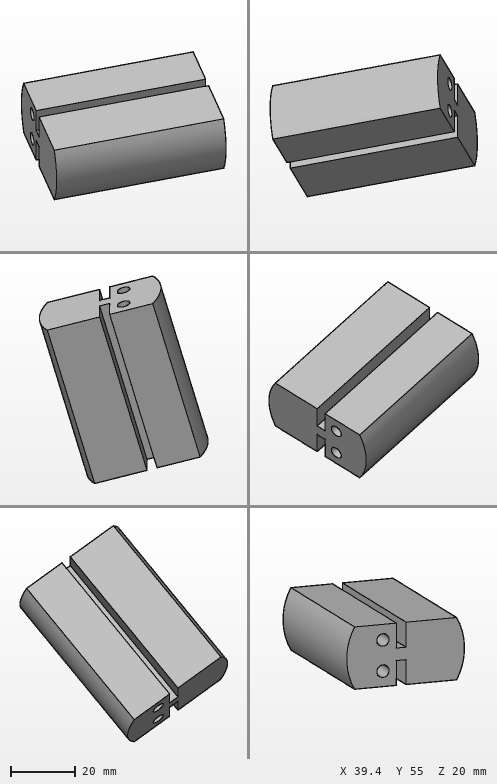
import cadquery as cq

width = 39.4
length = 55.0
height = 20.0
flat_width = 34.1

slot_width = 3.25
slot_center_x = -1.5
web_thickness = 4.0

hole_diameter = 4.0
hole_x = -7.6
hole_spacing = 10.0


def make_body():
    """Block with flat top and bottom and arc-shaped sides, centred on the origin."""
    half_flat = flat_width / 2
    half_height = height / 2
    return (
        cq.Workplane("XZ")
        .moveTo(-half_flat, -half_height)
        .lineTo(half_flat, -half_height)
        .threePointArc((width / 2, 0), (half_flat, half_height))
        .lineTo(-half_flat, half_height)
        .threePointArc((-width / 2, 0), (-half_flat, -half_height))
        .close()
        .extrude(length / 2, both=True)
    )


def make_slots():
    """Full-length slots cut in from the top and the bottom."""
    slot_depth = (height - web_thickness) / 2
    slot_center_z = (height - slot_depth) / 2
    return (
        cq.Workplane("XZ")
        .pushPoints([(slot_center_x, side * slot_center_z) for side in (-1, 1)])
        .rect(slot_width, slot_depth)
        .extrude(length / 2, both=True)
    )


def make_holes():
    """Full-length round holes, one above the other."""
    return (
        cq.Workplane("XZ")
        .pushPoints([(hole_x, side * hole_spacing / 2) for side in (-1, 1)])
        .circle(hole_diameter / 2)
        .extrude(length / 2, both=True)
    )


result = make_body().cut(make_slots()).cut(make_holes())